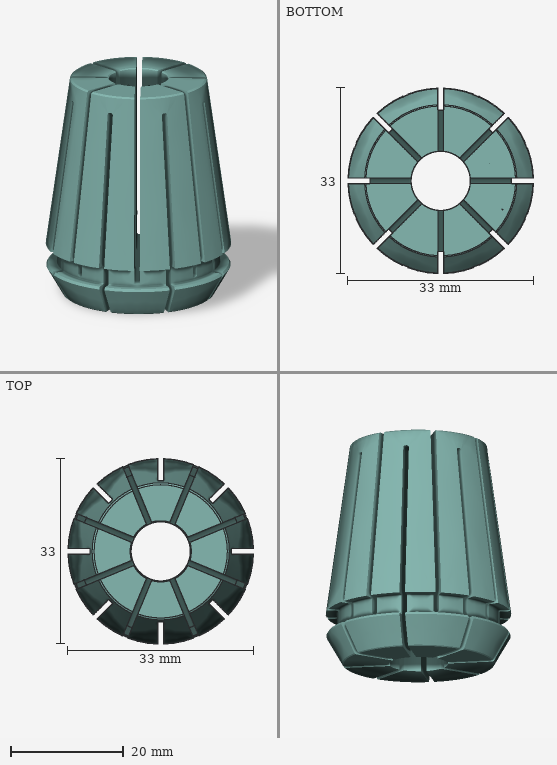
import cadquery as cq
import math

total_height = 40.0
max_radius = 16.5
bore_radius = 10.5 / 2
bore_chamfer = 0.2

taper_half_angle = 8.0
taper_base_z = 9.1
top_radius = max_radius - (total_height - taper_base_z) * math.tan(math.radians(taper_half_angle))
top_chamfer_width = 0.35
top_chamfer_height = 0.25

groove_radius = 14.5
groove_fillet_radius = 0.2
flange_top_z = 5.55
flange_rim_radius = 16.4
flange_rim_z = 5.1
flange_rim_chamfer = 0.3
flange_half_angle = 30.0
flange_base_radius = flange_rim_radius - flange_rim_z * math.tan(math.radians(flange_half_angle))
flange_base_chamfer = 0.15

slots_per_end = 8
slot_pitch = 360.0 / slots_per_end
slot_width = 1.0
slot_corner_radius = 0.4
bottom_slot_end_z = 37.0
top_slot_end_z = 6.0
slot_reach = max_radius + 1.0
slot_overrun = 1.0


def collet_body():
    """Revolved body with its bore along Z."""
    taper_end_radius = top_radius + top_chamfer_height * math.tan(math.radians(taper_half_angle))
    profile = (
        cq.Workplane("XZ")
        .moveTo(bore_radius, 0)
        .lineTo(flange_base_radius - flange_base_chamfer, 0)
        .lineTo(
            flange_base_radius + flange_base_chamfer * math.tan(math.radians(flange_half_angle)),
            flange_base_chamfer,
        )
        .lineTo(flange_rim_radius, flange_rim_z)
        .lineTo(flange_rim_radius - flange_rim_chamfer, flange_top_z)
        .lineTo(groove_radius + groove_fillet_radius, flange_top_z)
        .radiusArc((groove_radius, flange_top_z + groove_fillet_radius), groove_fillet_radius)
        .lineTo(groove_radius, taper_base_z - groove_fillet_radius)
        .radiusArc((groove_radius + groove_fillet_radius, taper_base_z), groove_fillet_radius)
        .lineTo(max_radius, taper_base_z)
        .lineTo(taper_end_radius, total_height - top_chamfer_height)
        .lineTo(taper_end_radius - top_chamfer_width, total_height)
        .lineTo(bore_radius + bore_chamfer, total_height)
        .lineTo(bore_radius, total_height - bore_chamfer)
        .close()
    )
    return profile.revolve(360, (0, 0, 0), (0, 1, 0))


def radial_slot(open_z, end_z, angle):
    """Slot from the axis outward, open at open_z, with rounded corners at end_z."""
    mouth_z = open_z + math.copysign(slot_overrun, open_z - end_z)
    slot = (
        cq.Workplane("YZ")
        .center(0, (mouth_z + end_z) / 2)
        .rect(slot_width, abs(mouth_z - end_z))
        .extrude(slot_reach)
    )
    blind_end = "<Z" if open_z > end_z else ">Z"
    slot = slot.faces(blind_end).edges("|X").fillet(slot_corner_radius)
    return slot.rotate((0, 0, 0), (0, 0, 1), angle)


result = collet_body()
for index in range(slots_per_end):
    bottom_slot_angle = index * slot_pitch
    top_slot_angle = bottom_slot_angle + slot_pitch / 2
    result = result.cut(radial_slot(0, bottom_slot_end_z, bottom_slot_angle))
    result = result.cut(radial_slot(total_height, top_slot_end_z, top_slot_angle))